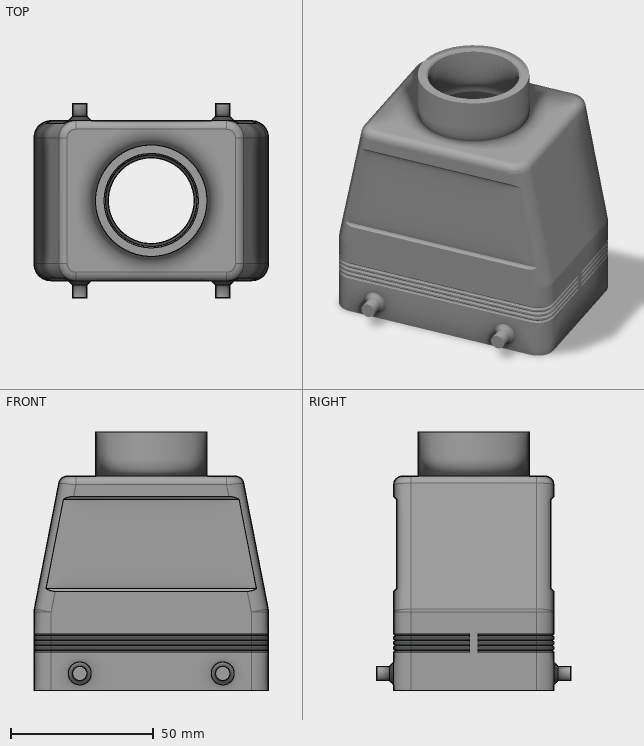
import cadquery as cq
import math

BODY_LENGTH = 82.0
BODY_DEPTH = 56.0
BODY_HEIGHT = 75.0
SHOULDER_Z = 28.05
END_DRAFT = 11.0
SHOULDER_BLEND_RADIUS = 5.0
SHOULDER_REACH = 1.0
CORNER_RADIUS = 6.0
TOP_EDGE_RADIUS = 3.0

FLANK_ANGLE = 45.0

PANEL_DEPTH = 1.0
PANEL_BOTTOM_Z = 34.7
PANEL_TOP_Z = 67.9

GROOVE_COUNT = 4
GROOVE_PITCH = 1.75
GROOVE_DEPTH = 0.55
LOWEST_GROOVE_Z = 14.0
GROOVE_GAP_WIDTH = 3.0

SPOUT_DIAMETER = 39.0
SPOUT_TOP_Z = 90.5
ENTRY_DIAMETER = 32.0
ENTRY_DEPTH = 16.25
ENTRY_CHAMFER = 0.5
RELIEF_DIAMETER = ENTRY_DIAMETER + 2 * ENTRY_CHAMFER
RELIEF_HEIGHT = 2.5
THROUGH_DIAMETER = 30.0

PIN_SPAN = 68.0
PIN_SPACING = 50.0
PIN_Z = 6.0
PIN_DIAMETER = 5.0
PIN_BASE_DIAMETER = 8.0


def make_body():
    """Block with drafted ends, rounded corners and a rounded top edge."""
    half_length = BODY_LENGTH / 2
    draft_rise = BODY_HEIGHT - SHOULDER_Z
    half_top = half_length - draft_rise * math.tan(math.radians(END_DRAFT))
    outline = [
        (-half_length, 0),
        (half_length, 0),
        (half_length, SHOULDER_Z),
        (half_top, BODY_HEIGHT),
        (-half_top, BODY_HEIGHT),
        (-half_length, SHOULDER_Z),
    ]
    body = cq.Workplane("XZ").polyline(outline).close().extrude(BODY_DEPTH / 2, both=True)

    shoulder_zone = cq.selectors.BoxSelector(
        (-BODY_LENGTH, -BODY_DEPTH, SHOULDER_Z - SHOULDER_REACH),
        (BODY_LENGTH, BODY_DEPTH, SHOULDER_Z + SHOULDER_REACH),
    )
    body = body.edges("|Y").edges(shoulder_zone).fillet(SHOULDER_BLEND_RADIUS)

    corner_edges = body.faces("<Y or >Y").edges("not(<Z or >Z)")
    body = corner_edges.fillet(CORNER_RADIUS)
    return body.faces(">Z").edges().fillet(TOP_EDGE_RADIUS)


def cut_panels(body):
    """Recess the front and back faces, with 45 degree upper and lower flanks."""
    face_y = BODY_DEPTH / 2
    floor_y = face_y - PANEL_DEPTH
    section = [
        (face_y, PANEL_BOTTOM_Z),
        (floor_y, PANEL_BOTTOM_Z + PANEL_DEPTH),
        (floor_y, PANEL_TOP_Z - PANEL_DEPTH),
        (face_y, PANEL_TOP_Z),
    ]
    panel = cq.Workplane("YZ").polyline(section).close().extrude(BODY_LENGTH / 2, both=True)
    return body.cut(panel).cut(panel.mirror("XZ"))


def make_groove(groove_z):
    """V-section ring round the body, interrupted by a plain strip on each end face."""
    outline = cq.Sketch().rect(BODY_LENGTH, BODY_DEPTH).vertices().fillet(CORNER_RADIUS)
    bottom_plane = cq.Workplane("XY", origin=(0, 0, groove_z - GROOVE_DEPTH))
    top_plane = cq.Workplane("XY", origin=(0, 0, groove_z + GROOVE_DEPTH))

    slab = bottom_plane.placeSketch(outline).extrude(2 * GROOVE_DEPTH)
    lower_core = bottom_plane.placeSketch(outline).extrude(GROOVE_DEPTH, taper=FLANK_ANGLE)
    upper_core = top_plane.placeSketch(outline).extrude(-GROOVE_DEPTH, taper=FLANK_ANGLE)
    strip = cq.Workplane("XY", origin=(0, 0, groove_z)).box(
        BODY_LENGTH, GROOVE_GAP_WIDTH, 2 * GROOVE_DEPTH
    )
    return slab.cut(lower_core).cut(upper_core).cut(strip)


def cut_grooves(body):
    """Cut the stack of V grooves."""
    for index in range(GROOVE_COUNT):
        body = body.cut(make_groove(LOWEST_GROOVE_Z + index * GROOVE_PITCH))
    return body


def add_spout(body):
    """Add the round spout, with a relieved entry bore above a bore through the body."""
    spout_height = SPOUT_TOP_Z - BODY_HEIGHT
    spout = cq.Workplane("XY", origin=(0, 0, BODY_HEIGHT)).circle(SPOUT_DIAMETER / 2).extrude(spout_height)

    relief_floor_radius = (RELIEF_DIAMETER - THROUGH_DIAMETER) / 2
    relief = (
        cq.Workplane("XY", origin=(0, 0, SPOUT_TOP_Z - ENTRY_DEPTH))
        .circle(RELIEF_DIAMETER / 2)
        .extrude(RELIEF_HEIGHT)
        .faces("<Z")
        .edges()
        .fillet(relief_floor_radius)
    )
    entry = (
        cq.Workplane("XY", origin=(0, 0, SPOUT_TOP_Z - ENTRY_DEPTH + RELIEF_HEIGHT))
        .circle(ENTRY_DIAMETER / 2)
        .extrude(ENTRY_DEPTH - RELIEF_HEIGHT)
    )
    through_bore = cq.Workplane("XY").circle(THROUGH_DIAMETER / 2).extrude(SPOUT_TOP_Z)
    mouth_flare = (
        cq.Workplane("XY", origin=(0, 0, SPOUT_TOP_Z))
        .circle(ENTRY_DIAMETER / 2 + ENTRY_CHAMFER)
        .extrude(-ENTRY_CHAMFER, taper=FLANK_ANGLE)
    )
    return body.union(spout).cut(entry).cut(relief).cut(through_bore).cut(mouth_flare)


def make_pin(pin_x):
    """Front pin with a 45 degree conical foot, started inside the wall."""
    root_y = BODY_DEPTH / 2 - PANEL_DEPTH
    face_y = BODY_DEPTH / 2
    foot_end_y = face_y + (PIN_BASE_DIAMETER - PIN_DIAMETER) / 2
    section = [
        (0, root_y),
        (PIN_BASE_DIAMETER / 2, root_y),
        (PIN_BASE_DIAMETER / 2, face_y),
        (PIN_DIAMETER / 2, foot_end_y),
        (PIN_DIAMETER / 2, PIN_SPAN / 2),
        (0, PIN_SPAN / 2),
    ]
    pin = cq.Workplane("XY").polyline(section).close().revolve(360, (0, 0), (0, 1))
    return pin.translate((pin_x, 0, PIN_Z))


def add_pins(body):
    """Add a pair of locking pins on the front face and a pair on the back."""
    for pin_x in (-PIN_SPACING / 2, PIN_SPACING / 2):
        pin = make_pin(pin_x)
        body = body.union(pin).union(pin.mirror("XZ"))
    return body


hood = cut_grooves(cut_panels(make_body()))
result = add_pins(add_spout(hood))